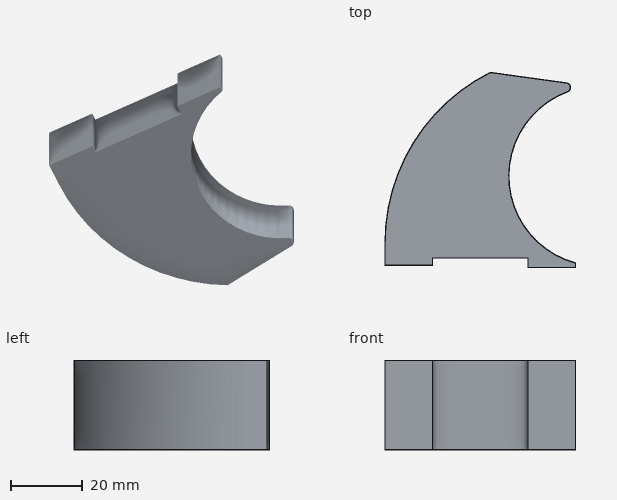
import cadquery as cq
import math

width = 53.3
depth = 54.65
height = 25.0

back_radius = width
back_start_y = 6.95

cradle_radius = 25.15
cradle_x = 59.8
cradle_y = 25.6

tip_radius = 1.3
tip_reach = 51.9

foot_width = 13.35
recess_y = 2.7
left_foot_y = 0.65


def point_on_circle(center, radius, angle):
    return (center[0] + radius * math.cos(angle), center[1] + radius * math.sin(angle))


back_center = (width, back_start_y)
back_end_angle = math.pi - math.asin((depth - back_start_y) / back_radius)
back_mid = point_on_circle(back_center, back_radius, (math.pi + back_end_angle) / 2)
back_end = point_on_circle(back_center, back_radius, back_end_angle)

cradle_center = (cradle_x, cradle_y)
tip_x = tip_reach - tip_radius
tip_angle = math.acos((tip_x - cradle_x) / (cradle_radius + tip_radius))
tip_center = point_on_circle(cradle_center, cradle_radius + tip_radius, tip_angle)
tip_end = point_on_circle(cradle_center, cradle_radius, tip_angle)

to_back_x = back_end[0] - tip_center[0]
to_back_y = back_end[1] - tip_center[1]
tangent_angle = math.atan2(to_back_y, to_back_x) - math.acos(tip_radius / math.hypot(to_back_x, to_back_y))
tip_start = point_on_circle(tip_center, tip_radius, tangent_angle)
tip_mid = point_on_circle(tip_center, tip_radius, 0)

cradle_mid = (cradle_x - cradle_radius, cradle_y)
cradle_end_y = cradle_y - math.sqrt(cradle_radius**2 - (cradle_x - width) ** 2)

result = (
    cq.Workplane("XY")
    .moveTo(0, left_foot_y)
    .lineTo(0, back_start_y)
    .threePointArc(back_mid, back_end)
    .lineTo(*tip_start)
    .threePointArc(tip_mid, tip_end)
    .threePointArc(cradle_mid, (width, cradle_end_y))
    .lineTo(width, 0)
    .lineTo(width - foot_width, 0)
    .lineTo(width - foot_width, recess_y)
    .lineTo(foot_width, recess_y)
    .lineTo(foot_width, left_foot_y)
    .close()
    .extrude(height)
)